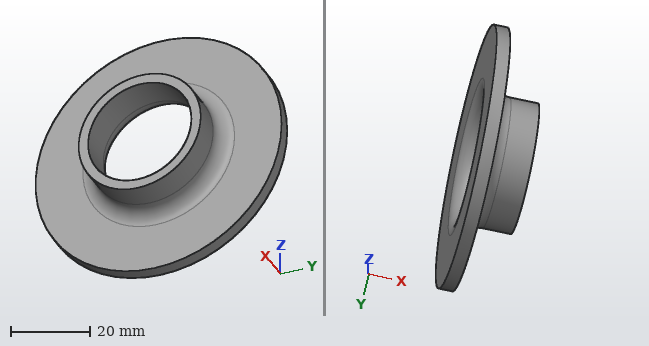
import cadquery as cq

flange_diameter = 68.0
flange_thickness = 3.55
total_length = 15.0
tube_diameter = 33.7
bore_diameter = 28.5
mouth_radius = 6.0
root_radius = 4.1

flange = cq.Workplane("YZ").circle(flange_diameter / 2).extrude(flange_thickness)
tube = cq.Workplane("YZ").circle(tube_diameter / 2).extrude(total_length)
body = flange.union(tube)

root_edge = cq.selectors.RadiusNthSelector(0)
body = body.faces("<X[1]").edges(root_edge).fillet(root_radius)

body = body.faces("<X").workplane().hole(bore_diameter)
mouth_edge = cq.selectors.RadiusNthSelector(0)
result = body.faces("<X").edges(mouth_edge).fillet(mouth_radius)